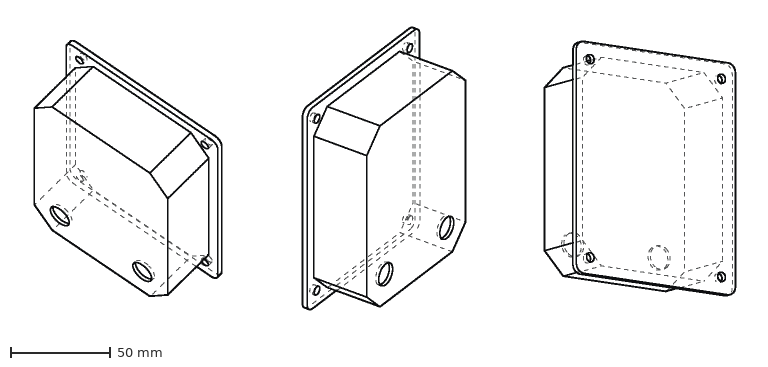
import cadquery as cq

flange_width = 99.4
flange_height = 119.4
flange_thickness = 3.0
flange_corner_radius = 4.7

overall_depth = 35.4
box_margin = 6.0
box_width = flange_width - 2 * box_margin
box_height = flange_height - 2 * box_margin
box_depth = overall_depth - flange_thickness
box_corner_bevel = 11.7

screw_hole_diameter = 4.7
screw_spacing_x = 82.0
screw_spacing_z = 102.0

recess_diameter = 12.3
recess_depth = 2.0
recess_spacing = 54.0
recess_z = -37.0


def make_flange():
    """Plate with its back on Y = 0, extending toward -Y, with four screw holes."""
    plate = (
        cq.Workplane("XZ")
        .rect(flange_width, flange_height)
        .extrude(flange_thickness)
        .edges("|Y")
        .fillet(flange_corner_radius)
    )
    holes = (
        cq.Workplane("XZ")
        .rect(screw_spacing_x, screw_spacing_z, forConstruction=True)
        .vertices()
        .circle(screw_hole_diameter / 2)
        .extrude(flange_thickness)
    )
    return plate.cut(holes)


def make_box():
    """Solid box in front of the flange, bevelled along its four Y edges."""
    return (
        cq.Workplane("XZ", origin=(0, -flange_thickness, 0))
        .rect(box_width, box_height)
        .extrude(box_depth)
        .edges("|Y")
        .chamfer(box_corner_bevel)
    )


def make_recesses():
    """Two discs sunk into the front face of the box."""
    recess_floor_y = -overall_depth + recess_depth
    return (
        cq.Workplane("XZ", origin=(0, recess_floor_y, 0))
        .pushPoints([(side * recess_spacing / 2, recess_z) for side in (-1, 1)])
        .circle(recess_diameter / 2)
        .extrude(recess_depth)
    )


result = make_flange().union(make_box()).cut(make_recesses())